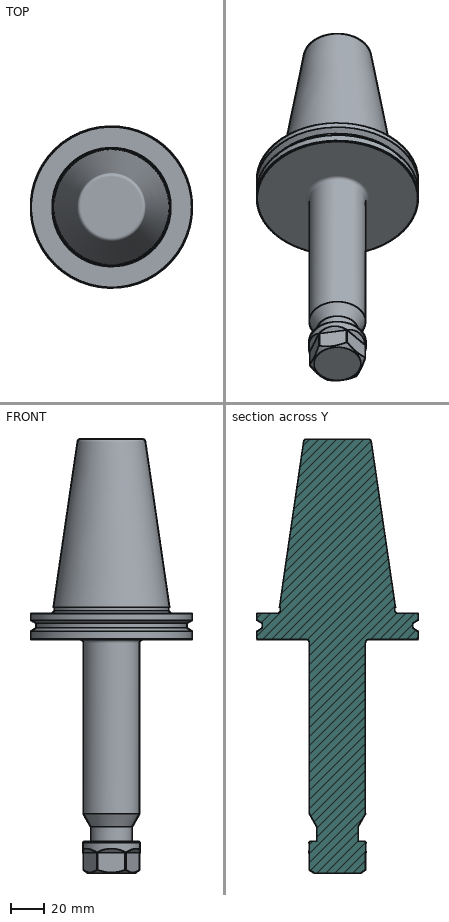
import cadquery as cq
import math

TOTAL_HEIGHT = 261.5

TAPER_RADIUS = 35.0
TAPER_BASE_Z = 160.4
TAPER_RATIO = 7 / 24
TOP_ROUND = 2.0
NECKING_RADIUS = 34.5
NECKING_FLARE = 1.3

FLANGE_RADIUS = 97.5 / 2
FLANGE_TOP_Z = 156.7
FLANGE_BOTTOM_Z = 140.7
FLANGE_CHAMFER = 0.5
GROOVE_RADIUS = 91.0 / 2
GROOVE_TOP_Z = 152.5
GROOVE_BOTTOM_Z = 145.7
GROOVE_SIDE_ANGLE = 32.0

SHANK_RADIUS = 17.0
SHANK_FILLET = 2.0
SHANK_BOTTOM_Z = 35.8
NECK_RADIUS = 12.5
NECK_TOP_Z = 28.0

NUT_HEIGHT = 19.4
COLLAR_RADIUS = 17.3
COLLAR_CHAMFER = 0.8
HEX_ACROSS_FLATS = 29.8
HEX_TOP_Z = 12.5
HEX_CORNER_RADIUS = 17.0
HEX_CHAMFER_WIDTH = 3.0
HEX_CHAMFER_HEIGHT = 2.0


def make_taper():
    length = TOTAL_HEIGHT - TAPER_BASE_Z
    top_radius = TAPER_RADIUS - length * TAPER_RATIO / 2
    profile = [
        (0, FLANGE_TOP_Z),
        (NECKING_RADIUS + NECKING_FLARE, FLANGE_TOP_Z),
        (NECKING_RADIUS, FLANGE_TOP_Z + NECKING_FLARE),
        (NECKING_RADIUS, TAPER_BASE_Z),
        (TAPER_RADIUS, TAPER_BASE_Z),
        (top_radius, TOTAL_HEIGHT),
        (0, TOTAL_HEIGHT),
    ]
    taper = cq.Workplane("XZ").polyline(profile).close().revolve(360, (0, 0), (0, 1))
    return taper.faces(">Z").edges().fillet(TOP_ROUND)


def make_flange():
    side_rise = (FLANGE_RADIUS - GROOVE_RADIUS) * math.tan(math.radians(GROOVE_SIDE_ANGLE))
    profile = [
        (0, FLANGE_BOTTOM_Z),
        (FLANGE_RADIUS, FLANGE_BOTTOM_Z),
        (FLANGE_RADIUS, GROOVE_BOTTOM_Z),
        (GROOVE_RADIUS, GROOVE_BOTTOM_Z + side_rise),
        (GROOVE_RADIUS, GROOVE_TOP_Z - side_rise),
        (FLANGE_RADIUS, GROOVE_TOP_Z),
        (FLANGE_RADIUS, FLANGE_TOP_Z),
        (0, FLANGE_TOP_Z),
    ]
    flange = cq.Workplane("XZ").polyline(profile).close().revolve(360, (0, 0), (0, 1))
    return flange.faces(">Z or <Z").edges().chamfer(FLANGE_CHAMFER)


def make_shank():
    arc_offset = SHANK_FILLET * (1 - math.sqrt(0.5))
    return (
        cq.Workplane("XZ")
        .moveTo(0, NUT_HEIGHT)
        .lineTo(NECK_RADIUS, NUT_HEIGHT)
        .lineTo(NECK_RADIUS, NECK_TOP_Z)
        .lineTo(SHANK_RADIUS, SHANK_BOTTOM_Z)
        .lineTo(SHANK_RADIUS, FLANGE_BOTTOM_Z - SHANK_FILLET)
        .threePointArc(
            (SHANK_RADIUS + arc_offset, FLANGE_BOTTOM_Z - arc_offset),
            (SHANK_RADIUS + SHANK_FILLET, FLANGE_BOTTOM_Z),
        )
        .lineTo(0, FLANGE_BOTTOM_Z)
        .close()
        .revolve(360, (0, 0), (0, 1))
    )


def make_nut():
    flare_height = NUT_HEIGHT - HEX_TOP_Z
    flare_across_flats = HEX_ACROSS_FLATS + 2 * flare_height
    to_corners = 2 / math.sqrt(3)
    prism = cq.Workplane("XY").polygon(6, HEX_ACROSS_FLATS * to_corners).extrude(HEX_TOP_Z)
    flare = (
        cq.Workplane("XY", origin=(0, 0, HEX_TOP_Z))
        .polygon(6, HEX_ACROSS_FLATS * to_corners)
        .workplane(offset=flare_height)
        .polygon(6, flare_across_flats * to_corners)
        .loft(ruled=True)
    )
    envelope = [
        (0, 0),
        (HEX_CORNER_RADIUS - HEX_CHAMFER_WIDTH, 0),
        (HEX_CORNER_RADIUS, HEX_CHAMFER_HEIGHT),
        (HEX_CORNER_RADIUS, HEX_TOP_Z),
        (COLLAR_RADIUS, HEX_TOP_Z),
        (COLLAR_RADIUS, NUT_HEIGHT - COLLAR_CHAMFER),
        (COLLAR_RADIUS - COLLAR_CHAMFER, NUT_HEIGHT),
        (0, NUT_HEIGHT),
    ]
    rounded = cq.Workplane("XZ").polyline(envelope).close().revolve(360, (0, 0), (0, 1))
    return prism.union(flare).intersect(rounded)


result = make_taper().union(make_flange()).union(make_shank()).union(make_nut())